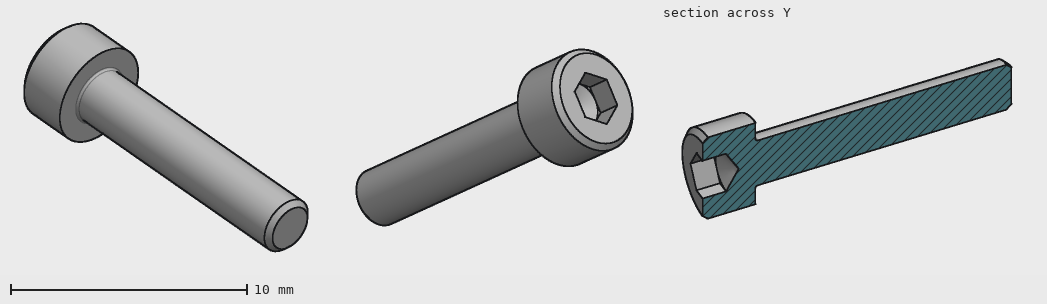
import cadquery as cq
import math

total_length = 14.5
head_diameter = 4.5
head_height = 2.5
head_chamfer = 0.25
shank_diameter = 2.5
tip_chamfer = 0.25
neck_fillet = 0.1

socket_across_flats = 2.05
socket_depth = 1.1
cone_tip_angle = 120.0

head_radius = head_diameter / 2
shank_radius = shank_diameter / 2


def make_body():
    """Revolve the half profile of head and shank about the X axis."""
    arc_offset = neck_fillet * (1 - math.sqrt(0.5))
    profile = (
        cq.Workplane("XY")
        .moveTo(0, 0)
        .lineTo(0, head_radius - head_chamfer)
        .lineTo(head_chamfer, head_radius)
        .lineTo(head_height, head_radius)
        .lineTo(head_height, shank_radius + neck_fillet)
        .threePointArc(
            (head_height + arc_offset, shank_radius + arc_offset),
            (head_height + neck_fillet, shank_radius),
        )
        .lineTo(total_length - tip_chamfer, shank_radius)
        .lineTo(total_length, shank_radius - tip_chamfer)
        .lineTo(total_length, 0)
        .close()
    )
    return profile.revolve(360, (0, 0, 0), (1, 0, 0))


def make_socket():
    """Hexagonal prism with flats facing +Z and -Z, ending in a cone."""
    across_corners = socket_across_flats / math.cos(math.pi / 6)
    hexagon = cq.Workplane("YZ").polygon(6, across_corners).extrude(socket_depth)

    cone_radius = socket_across_flats / 2
    cone_depth = cone_radius / math.tan(math.radians(cone_tip_angle / 2))
    cone = (
        cq.Workplane("XY")
        .moveTo(socket_depth, 0)
        .lineTo(socket_depth, cone_radius)
        .lineTo(socket_depth + cone_depth, 0)
        .close()
        .revolve(360, (0, 0, 0), (1, 0, 0))
    )
    return hexagon.union(cone)


result = make_body().cut(make_socket())